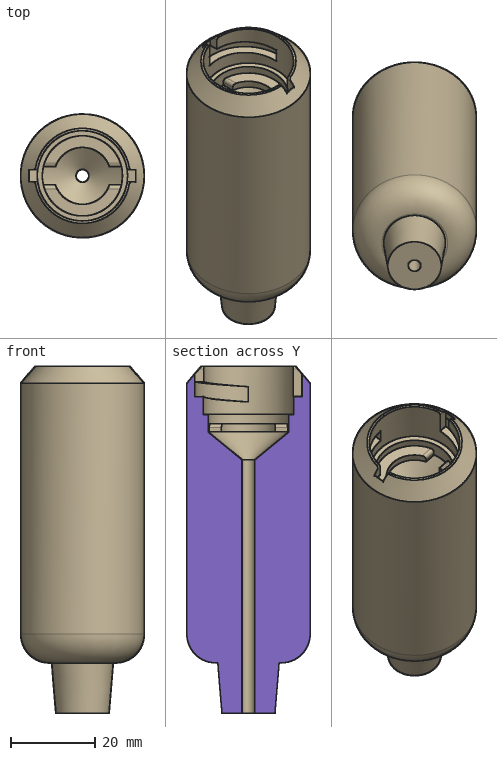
import cadquery as cq
import math

total_height = 82.4
body_radius = 14.71
rim_radius = 11.3
bevel_height = 4.0
shoulder_z = 11.95
shoulder_fillet = 6.9
neck_top_radius = 7.3
neck_end_radius = 6.35

socket_radius = 10.7
socket_depth = 11.45
seat_radius = 9.52
seat_depth = 13.6

plate_thickness = 2.0
plate_bore_radius = 6.75
plate_slot_width = 4.3
plate_slot_fillet = 0.9
funnel_depth = 6.6
outlet_radius = 1.5

track_radius = 12.7
entry_width = 2.8
entry_fillet = 0.6
entry_depth = 3.8
arm_overlap = 0.8
arm_height = 3.6
arm_start_depth = 7.0
arm_end_depth = 8.5
arm_start_angle = 12.0
arm_end_angle = -90.0

full_turn = 360

seat_z = total_height - seat_depth
funnel_top_z = seat_z - plate_thickness
funnel_bottom_z = funnel_top_z - funnel_depth


def cylinder(radius, bottom, top):
    return cq.Workplane("XY").workplane(offset=bottom).circle(radius).extrude(top - bottom)


def outer_body():
    fillet_mid = shoulder_fillet * math.sqrt(0.5)
    center_r = body_radius - shoulder_fillet
    center_z = shoulder_z + shoulder_fillet
    return (
        cq.Workplane("XZ")
        .lineTo(neck_end_radius, 0)
        .lineTo(neck_top_radius, shoulder_z)
        .lineTo(center_r, shoulder_z)
        .threePointArc((center_r + fillet_mid, center_z - fillet_mid), (body_radius, center_z))
        .lineTo(body_radius, total_height - bevel_height)
        .lineTo(rim_radius, total_height)
        .lineTo(0, total_height)
        .close()
        .revolve(full_turn, (0, 0), (0, 1))
    )


def socket():
    upper = cylinder(socket_radius, total_height - socket_depth, total_height)
    return upper.union(cylinder(seat_radius, seat_z, total_height - socket_depth))


def keyhole():
    """Round opening with a full-width slot whose upper edges are rounded over."""
    half = plate_slot_width / 2
    flare = half + plate_slot_fillet
    mid = plate_slot_fillet * (1 - math.sqrt(0.5))
    slot = (
        cq.Workplane("YZ")
        .moveTo(-half, funnel_top_z)
        .lineTo(half, funnel_top_z)
        .lineTo(half, seat_z - plate_slot_fillet)
        .threePointArc((half + mid, seat_z - mid), (flare, seat_z))
        .lineTo(-flare, seat_z)
        .threePointArc((-half - mid, seat_z - mid), (-half, seat_z - plate_slot_fillet))
        .close()
        .extrude(seat_radius, both=True)
        .intersect(cylinder(seat_radius, funnel_top_z, seat_z))
    )
    return slot.union(cylinder(plate_bore_radius, funnel_top_z, seat_z))


def funnel():
    cone = (
        cq.Workplane("XZ")
        .moveTo(0, funnel_bottom_z)
        .lineTo(outlet_radius, funnel_bottom_z)
        .lineTo(seat_radius, funnel_top_z)
        .lineTo(0, funnel_top_z)
        .close()
        .revolve(full_turn, (0, 0), (0, 1))
    )
    return cone.union(cylinder(outlet_radius, 0, funnel_bottom_z))


def track_entry():
    """Vertical channel at +X with rounded lead-in edges at the rim."""
    half = entry_width / 2
    flare = half + entry_fillet
    mid = entry_fillet * (1 - math.sqrt(0.5))
    top = total_height
    return (
        cq.Workplane("YZ")
        .moveTo(-half, top - entry_depth)
        .lineTo(half, top - entry_depth)
        .lineTo(half, top - entry_fillet)
        .threePointArc((half + mid, top - mid), (flare, top))
        .lineTo(-flare, top)
        .threePointArc((-half - mid, top - mid), (-half, top - entry_fillet))
        .close()
        .extrude(track_radius)
    )


def track_arm():
    """Helical groove that drops from the +X entry to its end wall at -Y."""
    sweep_angle = arm_start_angle - arm_end_angle
    rise = arm_end_depth - arm_start_depth
    inner_radius = socket_radius - arm_overlap
    helix = cq.Wire.makeHelix(rise * full_turn / sweep_angle, rise, inner_radius)
    groove = (
        cq.Workplane("XZ")
        .moveTo(inner_radius, 0)
        .rect(track_radius - inner_radius, arm_height, centered=False)
        .sweep(cq.Workplane(helix), isFrenet=True)
        .rotate((0, 0, 0), (0, 0, 1), arm_end_angle)
        .translate((0, 0, total_height - arm_end_depth))
    )
    entry_side = (
        cq.Workplane("XY")
        .workplane(offset=total_height - arm_end_depth)
        .center(0, entry_width / 2 - track_radius)
        .rect(2 * track_radius, 2 * track_radius)
        .extrude(arm_end_depth)
    )
    return groove.intersect(entry_side)


result = outer_body().cut(socket()).cut(keyhole()).cut(funnel())
track = track_entry().union(track_arm())
for angle in (0, full_turn / 2):
    result = result.cut(track.rotate((0, 0, 0), (0, 0, 1), angle))